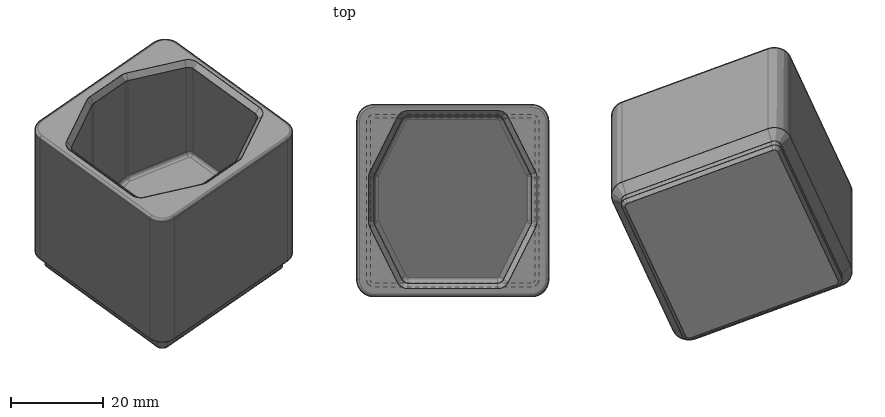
import cadquery as cq
import math

width = 41.5
height = 42.0
corner_radius = 3.75
top_edge_radius = 0.6

foot_chamfer = 0.8
foot_band_height = 1.8
flare = 2.15

pocket_half_x = 17.0
pocket_half_y = 18.05
pocket_offset_y = 0.2
end_wall_half_length = 10.55
flank_wall_half_length = 5.12
pocket_corner_diameter = 3.0
mouth_chamfer = 1.18

floor_tilt = 15.0
floor_fillet = 1.0

foot_width = width - 2 * flare
foot_corner_radius = corner_radius - flare
flare_start_z = foot_chamfer + foot_band_height
block_start_z = flare_start_z + flare
pocket_corner_radius = pocket_corner_diameter / 2
floor_low_z = block_start_z
floor_rise = 2 * pocket_half_y * math.tan(math.radians(floor_tilt))


def rounded_prism(side, radius, bottom_z, top_z):
    """Square prism centred on Z with rounded vertical edges."""
    return (
        cq.Workplane("XY")
        .workplane(offset=bottom_z)
        .rect(side, side)
        .extrude(top_z - bottom_z)
        .edges("|Z")
        .fillet(radius)
    )


def make_foot():
    """Straight band with a chamfered bottom edge."""
    band = rounded_prism(foot_width, foot_corner_radius, 0, block_start_z)
    return band.faces("<Z").edges().chamfer(foot_chamfer)


def make_block():
    """Main block, flared at the bottom and rounded along the top edge."""
    block = rounded_prism(width, corner_radius, flare_start_z, height)
    block = block.faces("<Z").edges().chamfer(flare)
    return block.faces(">Z").edges().fillet(top_edge_radius)


def make_pocket():
    """Solid that the pocket removes: rounded eight-sided walls over a sloping, filleted floor."""
    upper_half = [
        (pocket_half_x, flank_wall_half_length),
        (end_wall_half_length, pocket_half_y),
        (-end_wall_half_length, pocket_half_y),
        (-pocket_half_x, flank_wall_half_length),
    ]
    lower_half = [(-x, -y) for x, y in upper_half]
    walls = (
        cq.Workplane("XY")
        .polyline(upper_half + lower_half)
        .close()
        .extrude(height)
        .edges("|Z")
        .fillet(pocket_corner_radius)
    )
    above_floor = (
        cq.Workplane("YZ")
        .moveTo(-pocket_half_y, floor_low_z)
        .lineTo(pocket_half_y, floor_low_z + floor_rise)
        .lineTo(pocket_half_y, height)
        .lineTo(-pocket_half_y, height)
        .close()
        .extrude(pocket_half_x, both=True)
    )
    pocket = walls.intersect(above_floor).faces("<Z").edges().fillet(floor_fillet)
    return pocket.translate((0, pocket_offset_y, 0))


result = make_foot().union(make_block()).cut(make_pocket())

mouth_edges = result.faces(">Z").val().innerWires()[0].Edges()
result = result.newObject(mouth_edges).chamfer(mouth_chamfer)